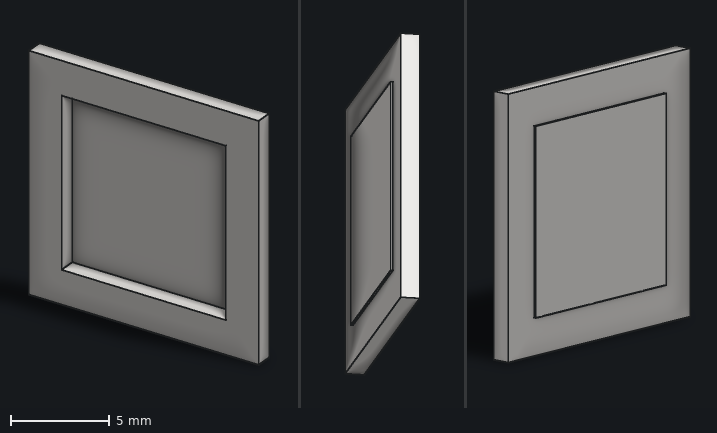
import cadquery as cq

frame_side = 14.0
frame_depth = 1.0
border_width = 2.0
overall_depth = 1.1

opening_side = frame_side - 2 * border_width
panel_thickness = overall_depth - frame_depth


def square_slab(side, front_y, thickness):
    """Square slab centred on the Y axis, extending toward +Y from front_y."""
    return cq.Workplane("XY").box(side, thickness, side).translate((0, front_y + thickness / 2, 0))


def make_frame():
    """Square frame with a square opening right through it."""
    opening = square_slab(opening_side, 0, frame_depth)
    return square_slab(frame_side, 0, frame_depth).cut(opening)


def make_panel():
    """Thin panel closing the opening, its edges meeting the opening's back edges."""
    return square_slab(opening_side, frame_depth, panel_thickness)


frame = make_frame()
panel = make_panel()

result = cq.Compound.makeCompound([frame.val(), panel.val()])